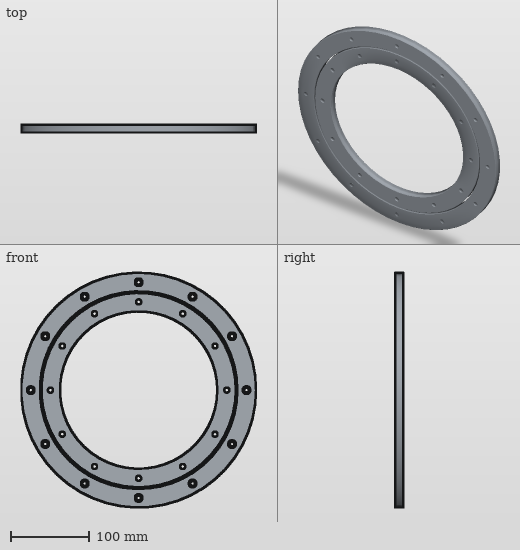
import cadquery as cq

OUTER_DIAMETER = 300.0
THICKNESS = 10.5
EDGE_CHAMFER = 0.5

GAP_OUTER_DIAMETER = 251.5
GAP_WIDTH = 1.5
GAP_INNER_DIAMETER = GAP_OUTER_DIAMETER - 2 * GAP_WIDTH

BORE_DIAMETER = 200.0

HOLE_COUNT = 12
OUTER_HOLE_DIAMETER = 6.0
INNER_HOLE_DIAMETER = 6.3
OUTER_BOLT_CIRCLE = 275.0
INNER_BOLT_CIRCLE = 225.0
COUNTERBORE_DIAMETER = 10.0
COUNTERBORE_DEPTH = 6.0


def chamfered_ring(outside, inside):
    """Flat ring with its front face at -Y and all four rims chamfered."""
    ring = (
        cq.Workplane("XZ", origin=(0, THICKNESS / 2, 0))
        .circle(outside / 2)
        .circle(inside / 2)
        .extrude(THICKNESS)
    )
    return ring.faces("|Y").edges().chamfer(EDGE_CHAMFER)


def bolt_points(ring, bolt_circle):
    """Bolt hole centres on the front face of a ring."""
    return (
        ring.faces("<Y")
        .workplane(origin=(0, 0, 0))
        .polarArray(bolt_circle / 2, 0, 360, HOLE_COUNT)
    )


def make_outer_ring():
    """Outer ring with bolt holes counterbored from the front."""
    ring = chamfered_ring(OUTER_DIAMETER, GAP_OUTER_DIAMETER)
    return bolt_points(ring, OUTER_BOLT_CIRCLE).cboreHole(
        OUTER_HOLE_DIAMETER, COUNTERBORE_DIAMETER, COUNTERBORE_DEPTH
    )


def make_inner_ring():
    """Inner ring with plain through bolt holes."""
    ring = chamfered_ring(GAP_INNER_DIAMETER, BORE_DIAMETER)
    return bolt_points(ring, INNER_BOLT_CIRCLE).hole(INNER_HOLE_DIAMETER)


outer_ring = make_outer_ring()
inner_ring = make_inner_ring()

result = cq.Compound.makeCompound([outer_ring.val(), inner_ring.val()])